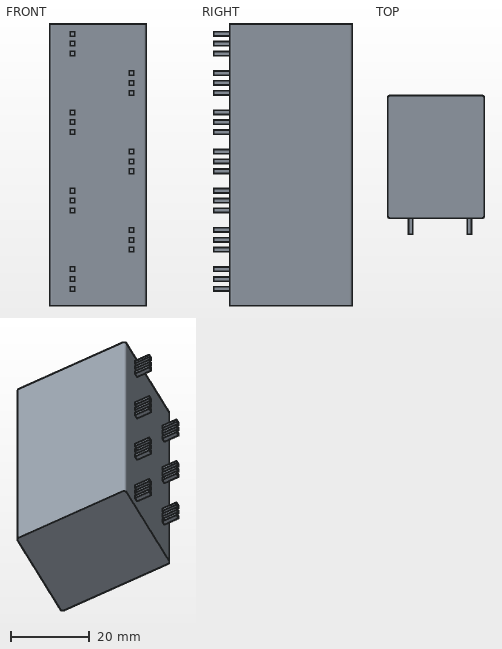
import cadquery as cq

body_width = 24.7
body_height = 71.8
overall_depth = 35.4
pin_length = 4.1
body_depth = overall_depth - pin_length
edge_radius = 0.7

pin_side = 1.15
pins_per_group = 3
group_span = 5.0
pin_pitch = group_span / (pins_per_group - 1)
group_count = 7
groups_span = 59.95
group_pitch = groups_span / (group_count - 1)
lowest_group_height = 6.8
left_column_inset = 5.9
column_spacing = 14.9

left_column_x = left_column_inset - body_width / 2
right_column_x = left_column_x + column_spacing


def make_body():
    """Box standing on the XY plane, its -Y face on the XZ plane."""
    box = cq.Workplane("XY").box(body_width, body_depth, body_height, centered=(True, False, False))
    return box.edges("|Z").fillet(edge_radius)


def pin_centres():
    """(x, z) of every pin on the front face; even groups are left, odd groups right."""
    centres = []
    for group in range(group_count):
        x = left_column_x if group % 2 == 0 else right_column_x
        group_z = lowest_group_height + group * group_pitch
        for pin in range(pins_per_group):
            centres.append((x, group_z - group_span / 2 + pin * pin_pitch))
    return centres


def make_pins():
    """Square pins pointing toward -Y from the front face."""
    return cq.Workplane("XZ").pushPoints(pin_centres()).rect(pin_side, pin_side).extrude(pin_length)


result = make_body().union(make_pins())